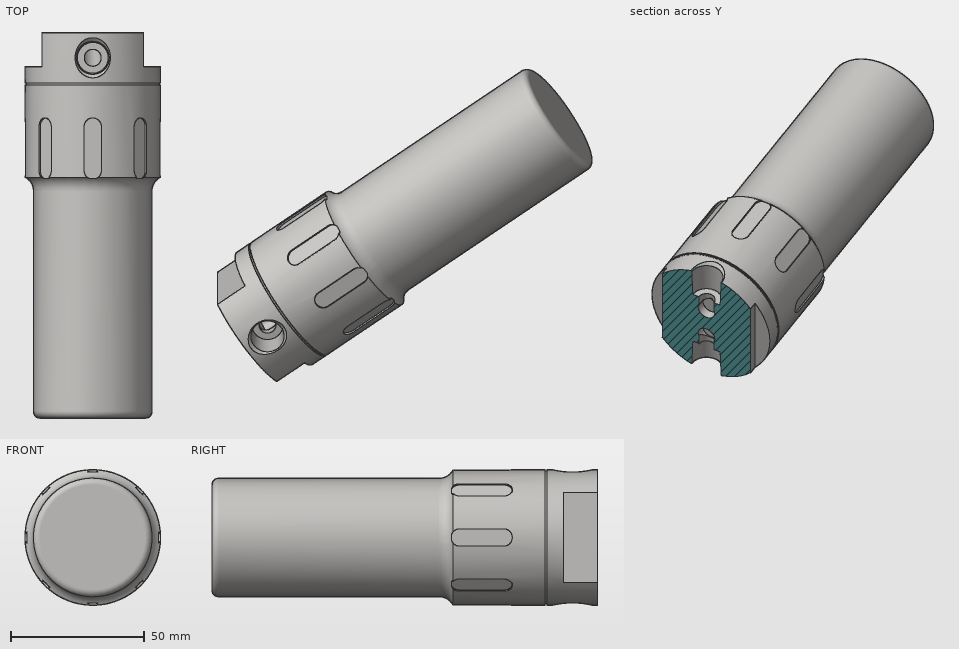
import cadquery as cq
import math

LENGTH = 144.5
HEAD_RADIUS = 25.4
CUP_RADIUS = 22.2
CUP_END_FILLET = 2.5

COLLAR_START = 90.3
NECK_START = 85.2
NECK_HEIGHT = COLLAR_START - NECK_START
NECK_STEP = HEAD_RADIUS - CUP_RADIUS
NECK_RADIUS = (NECK_HEIGHT**2 + NECK_STEP**2) / (2 * NECK_STEP)

GROOVE_WIDTH = 0.7
GROOVE_DEPTH = 0.5
GROOVE_START = 124.8

FLAT_SPACING = 38.1
FLAT_LENGTH = 12.7

SLOT_COUNT = 8
SLOT_WIDTH = 6.5
SLOT_LENGTH = 23.0
SLOT_START = 89.5
SLOT_FLOOR = 24.5

PORT_Y = LENGTH - 9.4
PORT_TOP_RADIUS = 6.2
PORT_FLOOR_RADIUS = 5.8
PORT_MOUTH_RADIUS = 7.5
PORT_DEPTH = 13.0
PASSAGE_RADIUS = 3.2
PASSAGE_DEPTH = 18.8
AXIAL_BORE_RADIUS = 3.5


def turned_body():
    """Cup, curved neck, collar and head as one revolved profile."""
    neck_angle = math.asin(NECK_HEIGHT / NECK_RADIUS) / 2
    neck_middle = (
        CUP_RADIUS + NECK_RADIUS * (1 - math.cos(neck_angle)),
        NECK_START + NECK_RADIUS * math.sin(neck_angle),
    )
    groove_end = GROOVE_START + GROOVE_WIDTH
    profile = (
        cq.Workplane("XY")
        .lineTo(CUP_RADIUS, 0)
        .lineTo(CUP_RADIUS, NECK_START)
        .threePointArc(neck_middle, (HEAD_RADIUS, COLLAR_START))
        .lineTo(HEAD_RADIUS, GROOVE_START)
        .lineTo(HEAD_RADIUS - GROOVE_DEPTH, GROOVE_START)
        .lineTo(HEAD_RADIUS - GROOVE_DEPTH, groove_end)
        .lineTo(HEAD_RADIUS, groove_end)
        .lineTo(HEAD_RADIUS, LENGTH)
        .lineTo(0, LENGTH)
        .close()
    )
    body = profile.revolve(360, (0, 0, 0), (0, 1, 0))
    return body.faces("<Y").edges().fillet(CUP_END_FILLET)


def cut_wrench_flats(body):
    """Two parallel flats at the head end, facing -X and +X."""
    for side in (-1, 1):
        center = (side * (FLAT_SPACING + HEAD_RADIUS) / 2, LENGTH - FLAT_LENGTH / 2, 0)
        cutter = cq.Workplane("XY", origin=center).box(HEAD_RADIUS, FLAT_LENGTH, 2 * HEAD_RADIUS)
        body = body.cut(cutter)
    return body


def cut_grip_slots(body):
    """Round-ended, flat-floored slots spaced evenly about the axis."""
    slot = (
        cq.Workplane("XY", origin=(0, SLOT_START + SLOT_LENGTH / 2, SLOT_FLOOR))
        .slot2D(SLOT_LENGTH, SLOT_WIDTH, 90)
        .extrude(HEAD_RADIUS)
    )
    for index in range(SLOT_COUNT):
        angle = index * 360 / SLOT_COUNT
        body = body.cut(slot.rotate((0, 0, 0), (0, 1, 0), angle))
    return body


def port_cutter():
    """Port entering from +Z: 45 degree mouth, tapered hole, and a narrow passage into a short axial bore."""
    floor = HEAD_RADIUS - PORT_DEPTH
    cone_bottom = HEAD_RADIUS - (PORT_MOUTH_RADIUS - PORT_TOP_RADIUS)
    profile = (
        cq.Workplane("XZ")
        .moveTo(0, HEAD_RADIUS - PASSAGE_DEPTH)
        .lineTo(PASSAGE_RADIUS, HEAD_RADIUS - PASSAGE_DEPTH)
        .lineTo(PASSAGE_RADIUS, floor)
        .lineTo(PORT_FLOOR_RADIUS, floor)
        .lineTo(PORT_TOP_RADIUS, cone_bottom)
        .lineTo(PORT_MOUTH_RADIUS, HEAD_RADIUS)
        .lineTo(0, HEAD_RADIUS)
        .close()
    )
    stepped_hole = profile.revolve(360, (0, 0, 0), (0, 1, 0))
    axial_bore = (
        cq.Workplane("XZ")
        .center(0, HEAD_RADIUS - PASSAGE_DEPTH)
        .circle(AXIAL_BORE_RADIUS)
        .extrude(AXIAL_BORE_RADIUS, both=True)
    )
    return stepped_hole.union(axial_bore).translate((0, PORT_Y, 0))


def cut_ports(body):
    """The same port from +Z and, mirrored, from -Z."""
    port = port_cutter()
    return body.cut(port).cut(port.mirror("XY"))


result = turned_body()
result = cut_wrench_flats(result)
result = cut_grip_slots(result)
result = cut_ports(result)